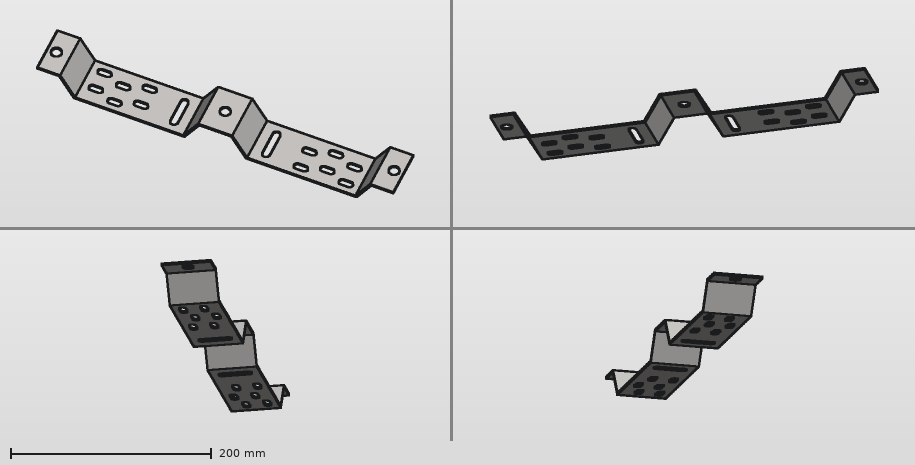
import math

import cadquery as cq

length = 387.0
width = 50.0
height = 30.0
thickness = 2.0

end_flat = 25.0
trough_floor = 120.0
fold_angle = math.radians(60)

hole_diameter = 11.0
hole_edge_distance = 10.0

cross_slot_length = 34.0
cross_slot_width = 8.0
cross_slot_x = 50.0

short_slot_length = 15.0
short_slot_width = 7.0
inner_pair_x = 88.5
middle_pair_x = 114.0
outer_pair_x = 137.5
near_slot_y = 7.0
far_slot_y = 14.5

half_length = length / 2
drop = height - thickness
slope_run = drop / math.tan(fold_angle)
miter_shift = thickness * math.tan(fold_angle / 2)


def folded_strip():
    """Bent sheet with two troughs, symmetric about X = 0."""
    rise_end = half_length - end_flat
    trough_end = rise_end - slope_run
    trough_start = trough_end + 2 * miter_shift - trough_floor
    crown_end = trough_start - slope_run
    upper_right = [
        (crown_end, height),
        (trough_start, thickness),
        (trough_end, thickness),
        (rise_end, height),
        (half_length, height),
    ]
    lower_right = [
        (crown_end - miter_shift, drop),
        (trough_start - miter_shift, 0),
        (trough_end + miter_shift, 0),
        (rise_end + miter_shift, drop),
        (half_length, drop),
    ]
    right = upper_right + lower_right[::-1]
    left = [(-x, z) for x, z in reversed(right)]
    outline = right + left
    return cq.Workplane("XZ").polyline(outline).close().extrude(width / 2, both=True)


def mounting_holes():
    """Cutters for the holes in the two end flats and the central crown."""
    end_hole_x = half_length - hole_edge_distance
    points = [(x, 0) for x in (-end_hole_x, 0, end_hole_x)]
    return cq.Workplane("XY").pushPoints(points).circle(hole_diameter / 2).extrude(height)


def cross_slots():
    """Cutters for the long slots running along Y."""
    points = [(-cross_slot_x, 0), (cross_slot_x, 0)]
    sketch = cq.Workplane("XY").pushPoints(points)
    return sketch.slot2D(cross_slot_length, cross_slot_width, 90).extrude(height)


def short_slots():
    """Cutters for the staggered slots; the right trough is the left one turned 180 degrees about Z."""
    left_points = []
    for x in (outer_pair_x, inner_pair_x):
        left_points += [(-x, far_slot_y), (-x, -near_slot_y)]
    left_points += [(-middle_pair_x, near_slot_y), (-middle_pair_x, -far_slot_y)]
    right_points = [(-x, -y) for x, y in left_points]
    sketch = cq.Workplane("XY").pushPoints(left_points + right_points)
    return sketch.slot2D(short_slot_length, short_slot_width).extrude(height)


result = folded_strip().cut(mounting_holes()).cut(cross_slots()).cut(short_slots())